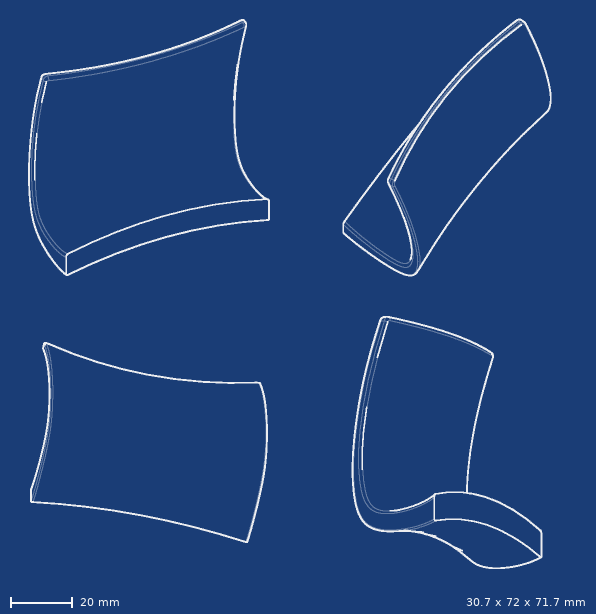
import cadquery as cq

depth = 30.66
width = 72.0
height = 71.66
half_width = width / 2

inner_edge_radius = 1.0
outer_edge_radius = 0.5
lip_corner_radius = 1.5

clearance = 5.0

outer_side = [
    (10.62, height), (4.48, 53.1), (0.55, 32.0), (0.2, 16.1),
    (4.6, 3.6), (16.6, -0.11), (depth, 2.1),
]
outer_middle = [
    (15.6, height), (8.1, 53.1), (3.0, 33.0), (2.3, 18.5),
    (6.3, 7.2), (16.8, 4.0), (depth, 6.8),
]
inner_side = [
    (13.4, height), (7.6, 54.0), (3.7, 34.0), (3.7, 18.2),
    (7.2, 9.1), (15.5, 6.9), (depth, 10.9),
]
inner_middle = [
    (17.9, height), (11.5, 54.0), (7.0, 32.0), (6.8, 17.5),
    (9.85, 12.0), (16.8, 10.85), (depth, 15.9),
]


def section(outer_curve, inner_curve, y):
    """Closed J-shaped wire in the plane at the given Y."""
    outer = [cq.Vector(x, y, z) for x, z in outer_curve]
    inner = [cq.Vector(x, y, z) for x, z in inner_curve]
    return cq.Wire.assembleEdges([
        cq.Edge.makeSpline(outer),
        cq.Edge.makeLine(outer[-1], inner[-1]),
        cq.Edge.makeSpline(inner[::-1]),
        cq.Edge.makeLine(inner[0], outer[0]),
    ])


def bowed_shell():
    """J-shaped body bowed across its width, lofted from flank to flank through the middle."""
    sections = [
        section(outer_side, inner_side, -half_width),
        section(outer_middle, inner_middle, 0),
        section(outer_side, inner_side, half_width),
    ]
    return cq.Workplane(cq.Solid.makeLoft(sections))


def trimming_block():
    """Block with rounded upper corners, flush with the lip and flanks and oversize elsewhere."""
    block = cq.Workplane("XY").box(depth + 2 * clearance, width, height + clearance)
    block = block.edges("|X and >Z").fillet(lip_corner_radius)
    return block.translate((depth / 2, 0, (height - clearance) / 2))


def curved_faces(body):
    """The outer and inner curved faces, which are the two largest, ordered by X."""
    by_area = sorted(body.faces().vals(), key=lambda face: face.Area())
    return sorted(by_area[-2:], key=lambda face: face.Center().x)


def round_rim(body, face, radius):
    """Round the flank and lip edges of a curved face, leaving the cut end of the foot sharp."""
    tolerance = 0.01
    rim = [edge for edge in face.Edges() if edge.BoundingBox().xmin < depth - tolerance]
    return body.newObject(rim).fillet(radius)


body = bowed_shell().intersect(trimming_block())

_, inner_face = curved_faces(body)
body = round_rim(body, inner_face, inner_edge_radius)

outer_face, _ = curved_faces(body)
result = round_rim(body, outer_face, outer_edge_radius)